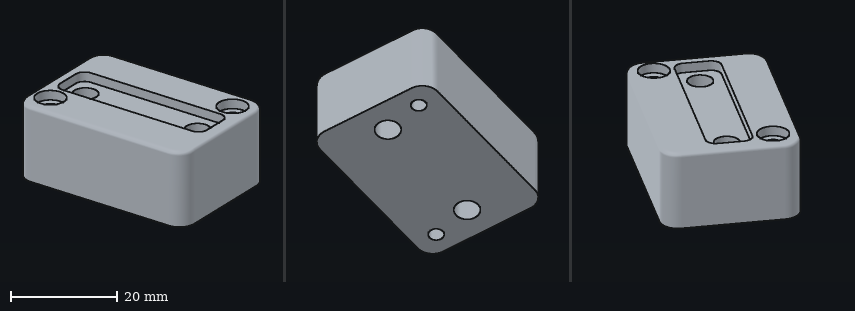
import cadquery as cq

length = 39
width = 27.0
height = 16
corner_radius = 3.5
top_edge_radius = 1.0

pocket_length = 34.0
pocket_width = 9.0
pocket_depth = 2.0
pocket_corner_radius = 2.0

main_hole_diameter = 5.0
main_hole_spacing = 26.0

screw_hole_diameter = 3.0
screw_head_diameter = 6.12
screw_head_depth = 2.0
screw_spacing_x = 30.0
screw_spacing_y = 17.0


def rounded_block():
    """Block standing on Z = 0 with rounded corners and a rounded top rim."""
    block = cq.Workplane("XY").box(length, width, height, centered=(True, True, False))
    return block.edges("|Z").fillet(corner_radius).faces(">Z").edges().fillet(top_edge_radius)


def pocket():
    """Rounded rectangular cutter reaching down from the top face."""
    cutter = cq.Workplane("XY").workplane(offset=height - pocket_depth)
    cutter = cutter.rect(pocket_length, pocket_width).extrude(pocket_depth)
    return cutter.edges("|Z").fillet(pocket_corner_radius)


def cylinders(points, diameter, depth):
    """Round cutters reaching down from the top face by the given depth."""
    return cq.Workplane("XY").workplane(offset=height).pushPoints(points).circle(diameter / 2).extrude(-depth)


main_points = [(side * main_hole_spacing / 2, 0) for side in (-1, 1)]
screw_points = [(side * screw_spacing_x / 2, side * screw_spacing_y / 2) for side in (-1, 1)]

result = (
    rounded_block()
    .cut(pocket())
    .cut(cylinders(main_points, main_hole_diameter, height))
    .cut(cylinders(screw_points, screw_hole_diameter, height))
    .cut(cylinders(screw_points, screw_head_diameter, screw_head_depth))
)